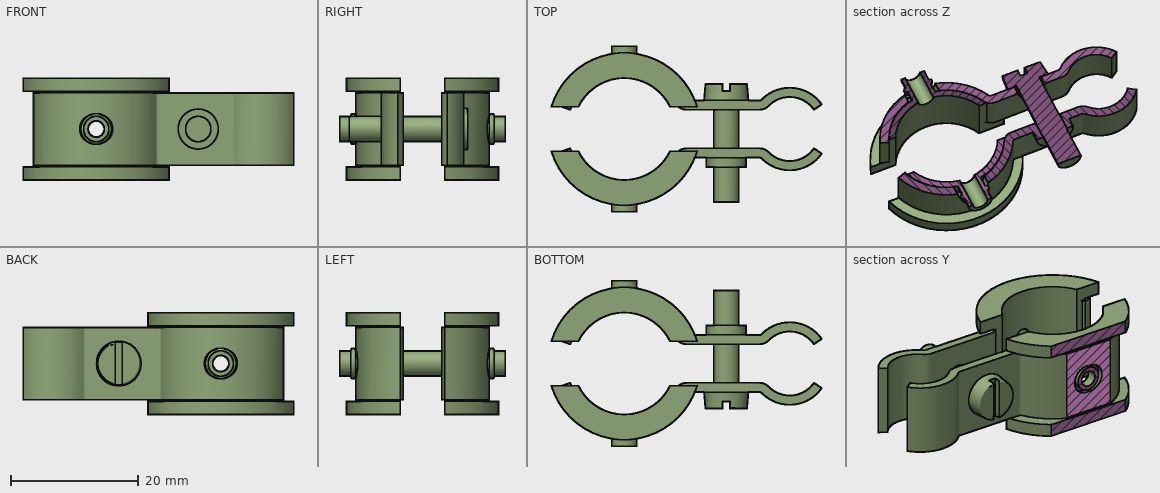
import cadquery as cq
import math


overall_length = 42.5

plate_thickness = 1.5
plate_height = 11.4
plate_gap_half = 3.0
ring_inner_radius = 9.0
bend_radius = 0.5
jaw_center_y = 0.4
jaw_inner_radius = 4.65
nipple_slot_height = 4.5
nipple_slot_length = 5.2
clearance_diameter = 4.5

liner_inner_radius = 8.0
flange_radius = 12.0
groove_floor_radius = 9.55
liner_height = 16.0
flange_thickness = 2.1
liner_face_y = 3.5
bore_diameter = 2.5
nipple_diameter = 4.0
nipple_end_y = 13.0
bead_radius = 0.42
bead_center_y = 10.87

screw_x = 16.0
shank_diameter = 4.0
screw_length = 15.97
head_diameter = 7.0
head_height = 2.6
head_taper = 5.0
head_edge_radius = 0.15
slot_width = 1.15
slot_depth = 1.1
collar_diameter = 6.3
collar_height = 1.5

plate_outer_y = plate_gap_half + plate_thickness
ring_outer_radius = ring_inner_radius + plate_thickness
jaw_outer_radius = jaw_inner_radius + plate_thickness
bend_outer_radius = bend_radius + plate_thickness
bend_center_y = plate_outer_y + bend_radius
nipple_radius = nipple_diameter / 2
flange_half_chord = math.sqrt(flange_radius ** 2 - liner_face_y ** 2)
jaw_end_angle = math.asin((plate_gap_half - jaw_center_y) / jaw_inner_radius)
jaw_center_x = overall_length - flange_half_chord - jaw_outer_radius * math.cos(jaw_end_angle)


def polar(center, radius, angle):
    return (center[0] + radius * math.cos(angle), center[1] + radius * math.sin(angle))


def cylinder_along_y(x, diameter, y_start, y_end):
    """Cylinder at z = 0 whose axis is parallel to Y."""
    start = cq.Vector(x, y_start, 0)
    direction = cq.Vector(0, y_end - y_start, 0)
    return cq.Workplane(cq.Solid.makeCylinder(diameter / 2, abs(y_end - y_start), start, direction))


def strip_blank():
    """Bent strip on the +Y side: ring arc, bend, flat, bend, jaw arc."""
    ring = (0, 0)
    jaw = (jaw_center_x, jaw_center_y)

    ring_bend_x = math.sqrt((ring_outer_radius + bend_radius) ** 2 - bend_center_y ** 2)
    jaw_rise = bend_center_y - jaw_center_y
    jaw_bend_x = jaw_center_x - math.sqrt((jaw_outer_radius + bend_radius) ** 2 - jaw_rise ** 2)
    ring_bend = (ring_bend_x, bend_center_y)
    jaw_bend = (jaw_bend_x, bend_center_y)

    ring_end = math.pi - math.asin(plate_gap_half / ring_inner_radius)
    ring_join = math.atan2(bend_center_y, ring_bend_x)
    jaw_join = math.atan2(jaw_rise, jaw_bend_x - jaw_center_x)

    ring_bend_middle = (ring_join - math.pi - math.pi / 2) / 2
    jaw_bend_middle = (jaw_join - math.pi - math.pi / 2) / 2

    outline = (
        cq.Workplane("XY")
        .workplane(offset=-plate_height / 2)
        .moveTo(*polar(ring, ring_inner_radius, ring_end))
        .lineTo(*polar(ring, ring_outer_radius, ring_end))
        .threePointArc((0, ring_outer_radius), polar(ring, ring_outer_radius, ring_join))
        .threePointArc(polar(ring_bend, bend_radius, ring_bend_middle), (ring_bend_x, plate_outer_y))
        .lineTo(jaw_bend_x, plate_outer_y)
        .threePointArc(
            polar(jaw_bend, bend_radius, jaw_bend_middle),
            polar(jaw, jaw_outer_radius, jaw_join),
        )
        .threePointArc(
            (jaw_center_x, jaw_center_y + jaw_outer_radius),
            polar(jaw, jaw_outer_radius, jaw_end_angle),
        )
        .lineTo(*polar(jaw, jaw_inner_radius, jaw_end_angle))
        .threePointArc(
            (jaw_center_x, jaw_center_y + jaw_inner_radius),
            polar(jaw, jaw_inner_radius, jaw_join),
        )
        .threePointArc(
            polar(jaw_bend, bend_outer_radius, jaw_bend_middle), (jaw_bend_x, plate_gap_half)
        )
        .lineTo(ring_bend_x, plate_gap_half)
        .threePointArc(
            polar(ring_bend, bend_outer_radius, ring_bend_middle),
            polar(ring, ring_inner_radius, ring_join),
        )
        .threePointArc((0, ring_inner_radius), polar(ring, ring_inner_radius, ring_end))
        .close()
    )
    return outline.extrude(plate_height)


def make_clamp_plate(has_collar):
    """Clamp plate on the +Y side, with or without the threaded collar on its outer face."""
    plate = strip_blank()
    collar_end_y = plate_outer_y + collar_height
    if has_collar:
        plate = plate.union(cylinder_along_y(screw_x, collar_diameter, plate_outer_y, collar_end_y))
        screw_hole_diameter = shank_diameter
    else:
        screw_hole_diameter = clearance_diameter
    plate = plate.cut(cylinder_along_y(screw_x, screw_hole_diameter, 0, collar_end_y))
    nipple_slot = (
        cq.Workplane("XZ")
        .slot2D(nipple_slot_length, nipple_slot_height)
        .extrude(-nipple_end_y)
    )
    return plate.cut(nipple_slot)


def make_nipple():
    """Nipple with a round retaining bead just outside the plate, revolved about the Y axis."""
    return (
        cq.Workplane("XY")
        .moveTo(0, liner_inner_radius)
        .lineTo(nipple_radius, liner_inner_radius)
        .lineTo(nipple_radius, bead_center_y - bead_radius)
        .threePointArc(
            (nipple_radius + bead_radius, bead_center_y),
            (nipple_radius, bead_center_y + bead_radius),
        )
        .lineTo(nipple_radius, nipple_end_y)
        .lineTo(0, nipple_end_y)
        .close()
        .revolve(360, (0, 0, 0), (0, 1, 0))
    )


def make_liner():
    """Half liner on the +Y side: grooved ring that holds the plate, with a bored nipple."""
    groove_height = liner_height - 2 * flange_thickness
    ring = cq.Workplane("XY").circle(flange_radius).extrude(liner_height / 2, both=True)
    groove = (
        cq.Workplane("XY")
        .circle(flange_radius)
        .circle(groove_floor_radius)
        .extrude(groove_height / 2, both=True)
    )
    bore = cq.Workplane("XY").circle(liner_inner_radius).extrude(liner_height / 2, both=True)
    half_space = cq.Workplane("XY").box(
        2 * flange_radius, flange_radius, liner_height, centered=(True, False, True)
    ).translate((0, liner_face_y, 0))

    liner = ring.cut(groove).intersect(half_space)
    liner = liner.cut(strip_blank())
    liner = liner.union(make_nipple())
    liner = liner.cut(bore)
    return liner.cut(cylinder_along_y(0, bore_diameter, 0, nipple_end_y))


def make_screw():
    """Slotted cheese-head screw, its head seated on the +Y plate."""
    shank = cylinder_along_y(screw_x, shank_diameter, plate_outer_y - screw_length, plate_outer_y)
    head_top_y = plate_outer_y + head_height
    head = (
        cq.Workplane("XZ", origin=(screw_x, plate_outer_y, 0))
        .circle(head_diameter / 2)
        .extrude(-head_height, taper=head_taper)
        .faces(">Y")
        .edges()
        .fillet(head_edge_radius)
    )
    slot = cq.Workplane("XY").box(slot_width, 2 * slot_depth, head_diameter)
    return shank.union(head).cut(slot.translate((screw_x, head_top_y, 0)))


clamp_plates = []
liners = []
for on_collar_side in (False, True):
    plate = make_clamp_plate(has_collar=on_collar_side)
    liner = make_liner()
    if on_collar_side:
        plate = plate.mirror("XZ")
        liner = liner.mirror("XZ")
    clamp_plates.append(plate.val())
    liners.append(liner.val())

screw = make_screw()

result = cq.Compound.makeCompound([*clamp_plates, *liners, screw.val()])